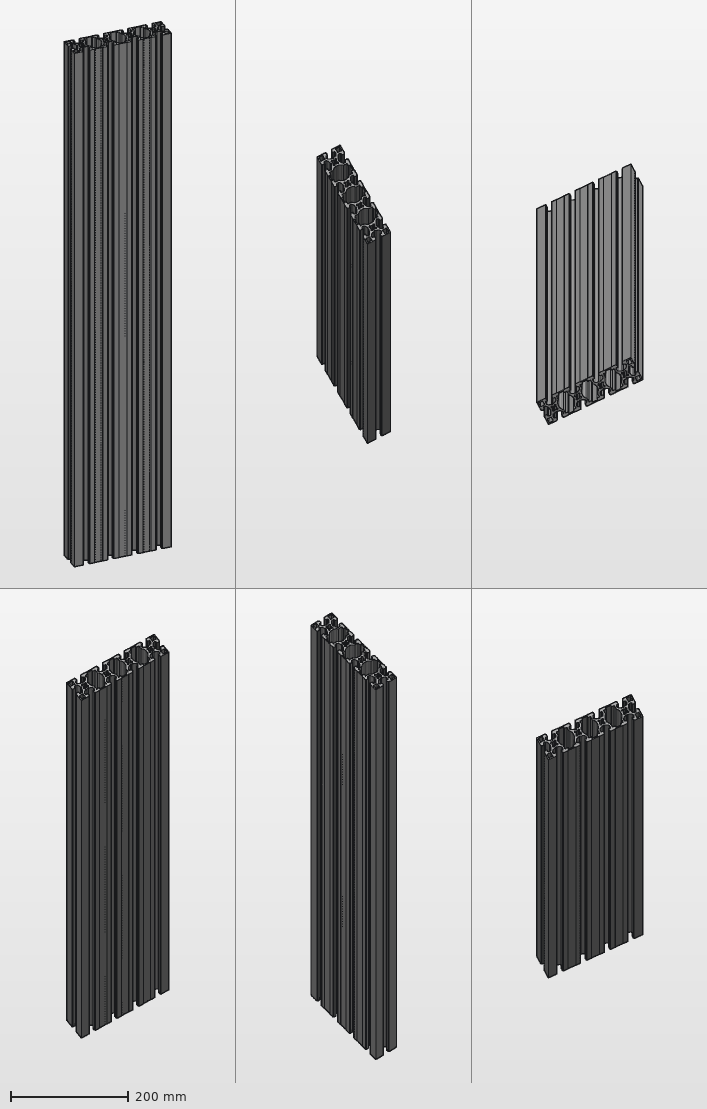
import cadquery as cq
import math

length = 1000.0
cell = 45.0
cell_count = 4
half_cell = cell / 2
half_depth = cell * cell_count / 2
cell_centres = [(i - (cell_count - 1) / 2) * cell for i in range(cell_count)]
joints = [(a + b) / 2 for a, b in zip(cell_centres, cell_centres[1:])]

core_height = 8.2
core_flat_half = 1.5
core_side_radius = 10.0
core_side_sweep = math.radians(38)

step_half = 6.0
step_depth = 1.5
mouth_half = 5.0
slot_half = 9.1
slot_wall = 3.3
lip_thickness = 6.0
lip_chamfer = 1.0
vee_depth = 1.5

bore_diameter = 7.2
groove_width = 2.5
groove_span = 12.0

chamber_side_y = 10.0
chamber_side_x = 10.0
chamber_roof_x = 17.0
notch_half = 5.0
notch_roof_x = 20.0

band_half = 7.5
band_depth = 0.3

wall = 2.5
hollow_size = 7.5
hollow_inset = wall + hollow_size / 2


def prism(outline):
    """Extrude closed outlines over the whole length of the bar."""
    return outline.extrude(length)


def flip_x(points):
    """Mirror points across the Y axis, in reverse order."""
    return [(-x, y) for x, y in reversed(points)]


def flip_y(points):
    """Mirror points across the X axis, in reverse order."""
    return [(x, -y) for x, y in reversed(points)]


def core_side(angle):
    """Point on the curved core side where it slopes by the given angle."""
    across = core_flat_half + core_side_radius * math.sin(angle)
    height = core_height + core_side_radius * (1 - math.cos(angle))
    return across, height


core_arc = [core_side(core_side_sweep * share) for share in (0, 0.5, 1)]


def t_slot(centre_y, turn):
    """Stepped T-slot opening towards +Y of its cell, turned about the cell centre."""
    step_height = half_cell - step_depth
    lip_height = half_cell - lip_thickness
    wall_top = lip_height - lip_chamfer
    right_side = [
        (slot_half, wall_top - slot_wall),
        (slot_half, wall_top),
        (slot_half - lip_chamfer, lip_height),
        (mouth_half, lip_height),
        (mouth_half, step_height),
        (step_half, step_height),
        (step_half, half_cell),
    ]
    left_arc = flip_x(core_arc)
    outline = (
        cq.Workplane("XY")
        .moveTo(0, core_height - vee_depth)
        .lineTo(*core_arc[0])
        .threePointArc(core_arc[1], core_arc[2])
        .polyline(right_side + flip_x(right_side), includeCurrent=True)
        .lineTo(*left_arc[0])
        .threePointArc(left_arc[1], left_arc[2])
        .close()
    )
    return prism(outline).rotate((0, 0, 0), (0, 0, 1), turn).translate((0, centre_y, 0))


def chamber(joint_y):
    """Hollow between two cores with a notch in each roof."""
    upper_right = [
        (chamber_side_x, chamber_side_y),
        (chamber_roof_x, chamber_side_y),
        (chamber_roof_x, notch_half),
        (notch_roof_x, notch_half),
    ]
    right_side = upper_right + flip_y(upper_right)
    top_right_arc = [(x, half_cell - y) for x, y in core_arc]
    top_left_arc = flip_x(top_right_arc)
    bottom_right_arc = flip_y(top_right_arc)
    bottom_left_arc = flip_x(bottom_right_arc)
    outline = (
        cq.Workplane("XY")
        .moveTo(*top_right_arc[0])
        .threePointArc(top_right_arc[1], top_right_arc[2])
        .polyline(right_side, includeCurrent=True)
        .lineTo(*bottom_right_arc[0])
        .threePointArc(bottom_right_arc[1], bottom_right_arc[2])
        .lineTo(*bottom_left_arc[0])
        .threePointArc(bottom_left_arc[1], bottom_left_arc[2])
        .polyline(flip_x(right_side), includeCurrent=True)
        .lineTo(*top_left_arc[0])
        .threePointArc(top_left_arc[1], top_left_arc[2])
        .close()
    )
    return prism(outline).translate((0, joint_y, 0))


def bore_grooves(centre_y):
    """Two crossed slots that cut four diagonal grooves into a bore."""
    slot = prism(cq.Workplane("XY").rect(groove_span, groove_width))
    rising = slot.rotate((0, 0, 0), (0, 0, 1), 45)
    falling = slot.rotate((0, 0, 0), (0, 0, 1), -45)
    return rising.union(falling).translate((0, centre_y, 0))


bar = prism(cq.Workplane("XY").rect(cell, 2 * half_depth))

for centre in cell_centres:
    bar = bar.cut(t_slot(centre, 90)).cut(t_slot(centre, -90))
bar = bar.cut(t_slot(cell_centres[-1], 0)).cut(t_slot(cell_centres[0], 180))

bore_places = [(0, y) for y in cell_centres]
bar = bar.cut(prism(cq.Workplane("XY").pushPoints(bore_places).circle(bore_diameter / 2)))
for centre in cell_centres:
    bar = bar.cut(bore_grooves(centre))

for joint in joints:
    bar = bar.cut(chamber(joint))

band_places = [(side * half_cell, y) for side in (-1, 1) for y in joints]
bar = bar.cut(prism(cq.Workplane("XY").pushPoints(band_places).rect(2 * band_depth, 2 * band_half)))

hollow_x = half_cell - hollow_inset
hollow_y = half_depth - hollow_inset
hollow_places = [(sx * hollow_x, sy * hollow_y) for sx in (-1, 1) for sy in (-1, 1)]
bar = bar.cut(prism(cq.Workplane("XY").pushPoints(hollow_places).rect(hollow_size, hollow_size)))

result = bar